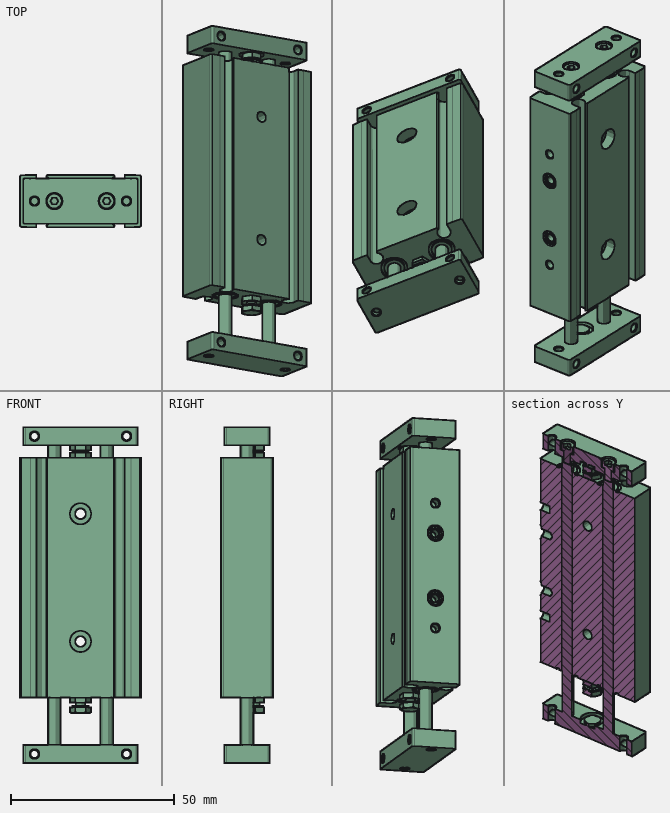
import cadquery as cq
import math

TOTAL_LENGTH = 102.6
PLATE_THICKNESS = 5.5
HOUSING_BOTTOM = 20.0
HOUSING_TOP = 93.3
HOUSING_LENGTH = HOUSING_TOP - HOUSING_BOTTOM
HOUSING_MID = (HOUSING_BOTTOM + HOUSING_TOP) / 2

HOUSING_WIDTH = 37.0
HOUSING_DEPTH = 16.0
CORNER_WIDTH = 0.4
CORNER_DEPTH = 0.7
CORNER_BULGE = 0.1
CROWN_START_X = 15.4
CROWN_DROP = 0.1
SLOT_RADIUS = 2.1
SLOT_AXIS_X = 11.4
SLOT_AXIS_DEPTH = 2.4
SLOT_MOUTH_INNER_X = 10.5
LIP_BEVEL_WIDTH = 0.3
LIP_BEVEL_DEPTH = 0.5

ROD_RING_DIAMETER = 8.0
ROD_COLLAR_DIAMETER = 6.3
ROD_RING_DEPTH = 0.5

MOUNT_SPACING = 39.0
MOUNT_HOLE_DIAMETER = 3.2
MOUNT_BORE_DIAMETER = 6.5
MOUNT_BORE_DEPTH = 3.3
PORT_SPACING = 20.3
PORT_SEAT_DIAMETER = 5.0
PORT_SEAT_FLOOR_DIAMETER = 4.1
PORT_SEAT_DEPTH = 0.3
SIDE_HOLE_DEPTH = 3.6
DRILL_TIP_ANGLE = 118.0

TAP_DIAMETER = 2.5
TAP_MOUTH_DIAMETER = 3.0

PLATE_WIDTH = 35.0
PLATE_DEPTH = 14.0
PLATE_CORNER_RADIUS = 0.6
PLATE_HOLE_X = 14.1
ROD_DIAMETER = 4.0
ROD_X = 8.0
CUSHION_RECESS_DIAMETER = 7.5
CUSHION_RECESS_DEPTH = 1.2
CUSHION_DIAMETER = 5.0
CUSHION_SETBACK = 0.2

SCREW_BORE_DIAMETER = 5.0
SCREW_BORE_DEPTH = 3.0
SCREW_HEAD_DIAMETER = 4.5
SCREW_HEAD_HEIGHT = 2.5
SCREW_SHANK_DIAMETER = 2.5
SCREW_SHANK_LENGTH = 4.1
SOCKET_ACROSS_CORNERS = 2.4
SOCKET_DEPTH = 1.2

STOPPER_Y = 2.5
HEX_ACROSS_CORNERS = 6.5
NUT_HEIGHT = 1.5
BOLT_DIAMETER = 3.0
BOLT_HEAD_HEIGHT = 1.7
BOLT_END_FACE_DIAMETER = 5.5
BOLT_CHAMFER_ANGLE = 30.0
BOLT_COLLAR_DIAMETER = 5.0
BOLT_COLLAR_HEIGHT = 0.4
BOLT_ENGAGEMENT = 6.2
BOTTOM_HEAD_END = 15.3
TOP_HEAD_END = TOTAL_LENGTH - PLATE_THICKNESS + CUSHION_SETBACK


def cylinder(diameter, length, start, direction):
    return cq.Workplane(cq.Solid.makeCylinder(diameter / 2, length, cq.Vector(*start), cq.Vector(*direction)))


def cone(start_diameter, end_diameter, length, start, direction):
    solid = cq.Solid.makeCone(
        start_diameter / 2, end_diameter / 2, length, cq.Vector(*start), cq.Vector(*direction)
    )
    return cq.Workplane(solid)


def mouth_chamfer(start, direction):
    """45 degree countersink at the mouth of a tapped hole."""
    depth = (TAP_MOUTH_DIAMETER - TAP_DIAMETER) / 2
    return cone(TAP_MOUTH_DIAMETER, TAP_DIAMETER, depth, start, direction)


def tapped_through_hole(length, start, direction):
    """Through hole countersunk at both ends."""
    end = [s + length * d for s, d in zip(start, direction)]
    reverse = [-d for d in direction]
    hole = cylinder(TAP_DIAMETER, length, start, direction)
    return hole.union(mouth_chamfer(start, direction)).union(mouth_chamfer(end, reverse))


def hex_prism(height, base):
    """Upright hexagonal prism with two corners on the X axis."""
    return cq.Workplane("XY", origin=base).polygon(6, HEX_ACROSS_CORNERS).extrude(height)


def housing_blank():
    """Crowned rectangular section extruded along Z, built as one quarter and mirrored twice."""
    side_x = HOUSING_WIDTH / 2
    face_y = HOUSING_DEPTH / 2
    quarter = (
        cq.Workplane("XY", origin=(0, 0, HOUSING_BOTTOM))
        .lineTo(0, face_y)
        .lineTo(CROWN_START_X, face_y)
        .tangentArcPoint((side_x - CORNER_WIDTH, face_y - CROWN_DROP), relative=False)
        .sagittaArc((side_x, face_y - CORNER_DEPTH), CORNER_BULGE)
        .lineTo(side_x, 0)
        .close()
        .extrude(HOUSING_LENGTH)
    )
    half = quarter.union(quarter.mirror("YZ"))
    return half.union(half.mirror("XZ")).clean()


def sensor_slot(x_side, y_side):
    """Round-bottomed slot whose mouth is tangent to its outer wall, with a beveled inner lip."""
    face_y = HOUSING_DEPTH / 2
    axis_y = face_y - SLOT_AXIS_DEPTH
    outer_x = SLOT_AXIS_X + SLOT_RADIUS
    plane = cq.Workplane("XY", origin=(0, 0, HOUSING_BOTTOM))
    channel = plane.center(x_side * SLOT_AXIS_X, y_side * axis_y).circle(SLOT_RADIUS).extrude(HOUSING_LENGTH)
    mouth_points = [
        (SLOT_MOUTH_INNER_X, axis_y),
        (outer_x, axis_y),
        (outer_x, face_y),
        (SLOT_MOUTH_INNER_X - LIP_BEVEL_WIDTH, face_y),
        (SLOT_MOUTH_INNER_X, face_y - LIP_BEVEL_DEPTH),
    ]
    mirrored_points = [(x_side * x, y_side * y) for x, y in mouth_points]
    mouth = plane.polyline(mirrored_points).close().extrude(HOUSING_LENGTH)
    return channel.union(mouth)


def mounting_hole(z):
    """Through hole along Y with a counterbore in the -Y face."""
    front = (0, -HOUSING_DEPTH / 2, z)
    inward = (0, 1, 0)
    hole = cylinder(MOUNT_HOLE_DIAMETER, HOUSING_DEPTH, front, inward)
    return hole.union(cylinder(MOUNT_BORE_DIAMETER, MOUNT_BORE_DEPTH, front, inward))


def side_hole(x, z):
    """Blind tapped hole entering from the -X side."""
    start = (x, 0, z)
    inward = (1, 0, 0)
    return cylinder(TAP_DIAMETER, SIDE_HOLE_DEPTH, start, inward).union(mouth_chamfer(start, inward))


def air_port(z):
    """Conical seat, tapped hole and drill tip entering from the -X side."""
    side_x = -HOUSING_WIDTH / 2
    inward = (1, 0, 0)
    seat = cone(PORT_SEAT_DIAMETER, PORT_SEAT_FLOOR_DIAMETER, PORT_SEAT_DEPTH, (side_x, 0, z), inward)
    hole_x = side_x + PORT_SEAT_DEPTH
    tip_length = TAP_DIAMETER / 2 / math.tan(math.radians(DRILL_TIP_ANGLE / 2))
    tip = cone(TAP_DIAMETER, 0, tip_length, (hole_x + SIDE_HOLE_DEPTH, 0, z), inward)
    return seat.union(side_hole(hole_x, z)).union(tip)


def rod_ring(x, end):
    """Annular recess around a rod; end is -1 for the lower and +1 for the upper housing face."""
    face = (x, 0, HOUSING_MID + end * HOUSING_LENGTH / 2)
    inward = (0, 0, -end)
    collar = cylinder(ROD_COLLAR_DIAMETER, ROD_RING_DEPTH, face, inward)
    return cylinder(ROD_RING_DIAMETER, ROD_RING_DEPTH, face, inward).cut(collar)


def make_housing():
    housing = housing_blank()
    for x_side in (-1, 1):
        for y_side in (-1, 1):
            housing = housing.cut(sensor_slot(x_side, y_side))
        rod_bore = cylinder(ROD_DIAMETER, HOUSING_LENGTH, (x_side * ROD_X, 0, HOUSING_BOTTOM), (0, 0, 1))
        housing = housing.cut(rod_bore)
        for end in (-1, 1):
            housing = housing.cut(rod_ring(x_side * ROD_X, end))
    for end in (-1, 1):
        housing = housing.cut(mounting_hole(HOUSING_MID + end * MOUNT_SPACING / 2))
        housing = housing.cut(side_hole(-HOUSING_WIDTH / 2, HOUSING_MID + end * MOUNT_SPACING / 2))
        housing = housing.cut(air_port(HOUSING_MID + end * PORT_SPACING / 2))
        end_face = (0, STOPPER_Y, HOUSING_MID + end * HOUSING_LENGTH / 2)
        housing = housing.cut(cylinder(BOLT_DIAMETER, BOLT_ENGAGEMENT, end_face, (0, 0, -end)))
    return housing


def end_plate(bottom, inner_face, inward):
    """Plate with tapped holes and a cushion in a round recess of its inner face."""
    plate = (
        cq.Workplane("XY", origin=(0, 0, bottom))
        .rect(PLATE_WIDTH, PLATE_DEPTH)
        .extrude(PLATE_THICKNESS)
        .edges("|Z")
        .fillet(PLATE_CORNER_RADIUS)
    )
    for x in (-PLATE_HOLE_X, PLATE_HOLE_X):
        plate = plate.cut(tapped_through_hole(PLATE_THICKNESS, (x, 0, bottom), (0, 0, 1)))
        front = (x, -PLATE_DEPTH / 2, bottom + PLATE_THICKNESS / 2)
        plate = plate.cut(tapped_through_hole(PLATE_DEPTH, front, (0, 1, 0)))
    outward = (0, 0, -inward)
    recess = cylinder(CUSHION_RECESS_DIAMETER, CUSHION_RECESS_DEPTH, (0, STOPPER_Y, inner_face), outward)
    cushion_face = (0, STOPPER_Y, inner_face - inward * CUSHION_SETBACK)
    cushion = cylinder(CUSHION_DIAMETER, CUSHION_RECESS_DEPTH, cushion_face, outward)
    return plate.cut(recess.cut(cushion))


def make_frame():
    """Both end plates joined by the rods, bored in the top plate for the cap screws."""
    top_plate_bottom = TOTAL_LENGTH - PLATE_THICKNESS
    frame = end_plate(0, PLATE_THICKNESS, 1)
    upper_plate = end_plate(top_plate_bottom, top_plate_bottom, -1)
    for x in (-ROD_X, ROD_X):
        rod_length = top_plate_bottom - PLATE_THICKNESS
        frame = frame.union(cylinder(ROD_DIAMETER, rod_length, (x, 0, PLATE_THICKNESS), (0, 0, 1)))
    frame = frame.union(upper_plate)
    for x in (-ROD_X, ROD_X):
        frame = frame.cut(cylinder(SCREW_BORE_DIAMETER, SCREW_BORE_DEPTH, (x, 0, TOTAL_LENGTH), (0, 0, -1)))
        seat = (x, 0, TOTAL_LENGTH - SCREW_BORE_DEPTH)
        frame = frame.cut(cylinder(SCREW_SHANK_DIAMETER, SCREW_SHANK_LENGTH, seat, (0, 0, -1)))
    return frame


def make_cap_screw(x):
    seat_z = TOTAL_LENGTH - SCREW_BORE_DEPTH
    head_top = seat_z + SCREW_HEAD_HEIGHT
    head = cylinder(SCREW_HEAD_DIAMETER, SCREW_HEAD_HEIGHT, (x, 0, seat_z), (0, 0, 1))
    socket = (
        cq.Workplane("XY", origin=(x, 0, head_top))
        .polygon(6, SOCKET_ACROSS_CORNERS)
        .extrude(-SOCKET_DEPTH)
    )
    shank = cylinder(SCREW_SHANK_DIAMETER, SCREW_SHANK_LENGTH, (x, 0, seat_z), (0, 0, -1))
    return head.cut(socket).union(shank)


def make_lock_nut(bottom):
    nut = hex_prism(NUT_HEIGHT, (0, STOPPER_Y, bottom))
    return nut.cut(cylinder(BOLT_DIAMETER, NUT_HEIGHT, (0, STOPPER_Y, bottom), (0, 0, 1)))


def make_stopper_bolt(head_end, end):
    """Hex bolt with its head away from the housing; end is -1 below and +1 above it."""
    inward = (0, 0, -end)
    end_face = (0, STOPPER_Y, head_end)
    head_seat = head_end - end * BOLT_HEAD_HEIGHT
    seat_face = (0, STOPPER_Y, head_seat)
    spread = BOLT_HEAD_HEIGHT / math.tan(math.radians(BOLT_CHAMFER_ANGLE))
    wide_diameter = BOLT_END_FACE_DIAMETER + 2 * spread
    bevel = cone(BOLT_END_FACE_DIAMETER, wide_diameter, BOLT_HEAD_HEIGHT, end_face, inward)
    head = hex_prism(BOLT_HEAD_HEIGHT, (0, STOPPER_Y, min(head_end, head_seat))).intersect(bevel)
    collar = cylinder(BOLT_COLLAR_DIAMETER, BOLT_COLLAR_HEIGHT, seat_face, inward)
    housing_face = HOUSING_MID + end * HOUSING_LENGTH / 2
    shank_length = abs(head_seat - housing_face) + BOLT_ENGAGEMENT
    shank = cylinder(BOLT_DIAMETER, shank_length, seat_face, inward)
    return head.union(collar).union(shank)


housing = make_housing()
frame = make_frame()
cap_screws = [make_cap_screw(x) for x in (-ROD_X, ROD_X)]
lock_nuts = [make_lock_nut(z) for z in (HOUSING_BOTTOM - NUT_HEIGHT, HOUSING_TOP)]
stopper_bolts = [make_stopper_bolt(BOTTOM_HEAD_END, -1), make_stopper_bolt(TOP_HEAD_END, 1)]

result = cq.Compound.makeCompound([
    housing.val(),
    frame.val(),
    *[screw.val() for screw in cap_screws],
    *[nut.val() for nut in lock_nuts],
    *[bolt.val() for bolt in stopper_bolts],
])